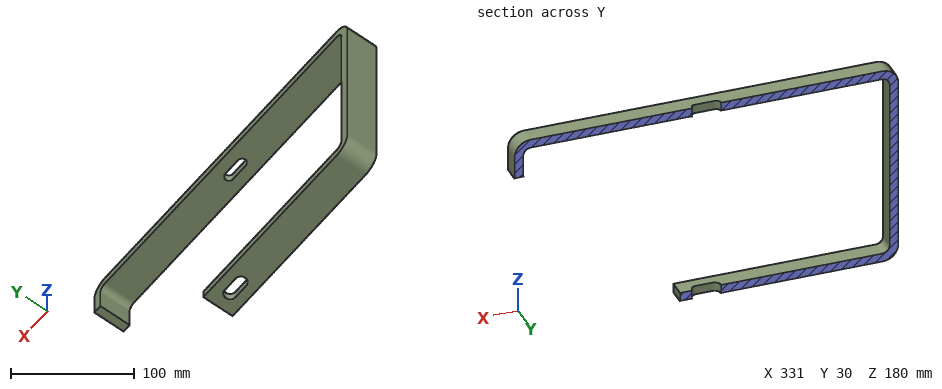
import cadquery as cq

bar_thickness = 8.0
bar_width = 30.0
inner_bend_radius = 6.0
outer_bend_radius = inner_bend_radius + bar_thickness

overall_length = 331.0
overall_height = 180.0
lower_leg_length = 188.5
lip_height = 34.0

upper_slot_length = 25.0
upper_slot_width = 8.0
lower_slot_length = 25.0
lower_slot_width = 11.0
slot_center_x = overall_length / 2


def bent_bar():
    """Bar bent at three corners, starting as a sharp-cornered profile in XZ."""
    inner_right = overall_length - bar_thickness
    inner_top = overall_height - bar_thickness
    lip_bottom = overall_height - lip_height
    profile = [
        (0, 0),
        (lower_leg_length, 0),
        (lower_leg_length, bar_thickness),
        (bar_thickness, bar_thickness),
        (bar_thickness, inner_top),
        (inner_right, inner_top),
        (inner_right, lip_bottom),
        (overall_length, lip_bottom),
        (overall_length, overall_height),
        (0, overall_height),
    ]
    bar = cq.Workplane("XZ").polyline(profile).close().extrude(bar_width / 2, both=True)

    outer_corners = [(0, 0), (0, overall_height), (overall_length, overall_height)]
    inner_corners = [
        (bar_thickness, bar_thickness),
        (bar_thickness, inner_top),
        (inner_right, inner_top),
    ]
    bar = round_corners(bar, outer_corners, outer_bend_radius)
    return round_corners(bar, inner_corners, inner_bend_radius)


def round_corners(bar, corners, radius):
    """Fillet the edges across the bar that pass through the given XZ corners."""
    for x, z in corners:
        bar = bar.edges(cq.NearestToPointSelector((x, 0, z))).fillet(radius)
    return bar


def slot_cutter(center_x, bottom_z, length, width):
    """Round-ended slot through one bar thickness, starting at bottom_z."""
    return (
        cq.Workplane("XY", origin=(center_x, 0, bottom_z))
        .slot2D(length, width)
        .extrude(bar_thickness)
    )


upper_slot = slot_cutter(
    slot_center_x, overall_height - bar_thickness, upper_slot_length, upper_slot_width
)
lower_slot = slot_cutter(slot_center_x, 0, lower_slot_length, lower_slot_width)

result = bent_bar().cut(upper_slot).cut(lower_slot)